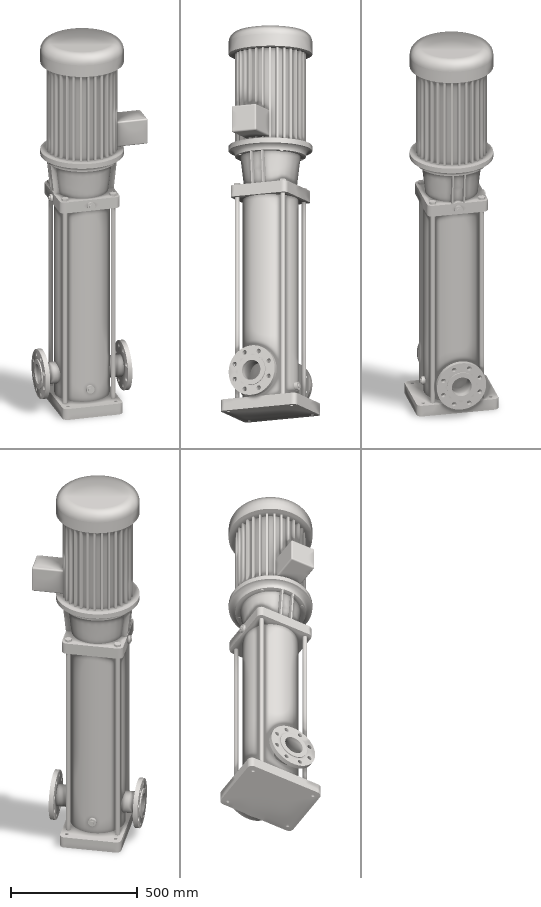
import cadquery as cq
import math


base_top = 46.0
port_z = 140.0
drain_plug_z = 100.0
head_bottom = 860.0
head_top = 906.0
head_plug_z = 882.0
lantern_top = 1034.0
motor_flange_bottom = 1057.0
motor_flange_top = 1077.0
cap_bottom = 1447.0
total_height = 1536.0

base_width = 330.0
plate_depth = 245.0
head_half_depth = plate_depth / 2
plate_corner_radius = 20.0
base_hole_diameter = 14.0
base_hole_x = 137.0
base_hole_y = 98.0

tube_diameter = 220.0
rod_diameter = 18.0
rod_spacing = 198.0
nut_diameter = 29.0
nut_height = 9.0

port_face_y = 183.0
port_bore = 80.0
pipe_diameter = 88.0
raised_face_diameter = 120.0
raised_face_height = 5.0
port_flange_diameter = 200.0
port_flange_thickness = 18.0
port_hole_diameter = 18.0
port_hole_circle = 160.0
port_hole_count = 8

plug_diameter = 32.0
plug_tip_diameter = 18.0
plug_tip_length = 5.0
plug_boss_diameter = 58.0
head_plug_collar = 9.0
drain_plug_collar = 12.0

lantern_bottom_diameter = 207.0
lantern_top_diameter = 238.0
rib_thickness = 6.0
rib_spacing = 48.0
rib_top_reach = 137.0
rib_bottom_reach = head_half_depth

motor_flange_diameter = 330.0
adapter_diameter = 280.0
motor_bolt_diameter = 14.0
motor_bolt_height = 3.0
motor_bolt_offset = 90.0
fin_diameter = 280.0
fin_count = 30
fin_thickness = 8.0
motor_core_diameter = 247.0
cap_diameter = motor_flange_diameter
cap_fillet = 40.0

box_width = 106.0
box_bottom = 1089.0
box_top = 1195.0
box_end_y = 255.0
box_edge_fillet = 6.0


def cylinder(diameter, bottom, top):
    """Upright cylinder on the pump axis between two heights."""
    return cq.Workplane("XY").workplane(offset=bottom).circle(diameter / 2).extrude(top - bottom)


def plate(width, bottom, top):
    """Horizontal plate with rounded vertical corners."""
    blank = cq.Workplane("XY").workplane(offset=bottom).rect(width, plate_depth).extrude(top - bottom)
    return blank.edges("|Z").fillet(plate_corner_radius)


def corner_points(x, y):
    """The four points placed symmetrically about the pump axis."""
    return [(sx * x, sy * y) for sx in (-1, 1) for sy in (-1, 1)]


def make_base():
    """Base plate with a through hole near each corner."""
    holes = corner_points(base_hole_x, base_hole_y)
    blank = plate(base_width, 0, base_top)
    return blank.faces(">Z").workplane(origin=(0, 0, base_top)).pushPoints(holes).hole(base_hole_diameter)


def make_tie_rods():
    """Four rods from base to head, each with a hexagon nut on top of the head plate."""
    corners = corner_points(rod_spacing / 2, rod_spacing / 2)
    rods = cq.Workplane("XY").pushPoints(corners).circle(rod_diameter / 2).extrude(head_top)
    nuts = (
        cq.Workplane("XY").workplane(offset=head_top)
        .pushPoints(corners).polygon(6, nut_diameter).extrude(nut_height)
    )
    return rods.union(nuts)


def make_port():
    """Flanged pipe on the -Y side; its bore ends at the tube wall."""
    flange_face_y = port_face_y - raised_face_height
    face = cq.Workplane("XZ", origin=(0, 0, port_z))
    pipe = face.circle(pipe_diameter / 2).extrude(port_face_y)
    raised_face = (
        face.workplane(offset=flange_face_y)
        .circle(raised_face_diameter / 2)
        .extrude(raised_face_height)
    )
    flange = (
        face.workplane(offset=flange_face_y - port_flange_thickness)
        .circle(port_flange_diameter / 2)
        .extrude(port_flange_thickness)
    )
    first_hole_angle = 180 / port_hole_count
    holes = (
        face.polarArray(port_hole_circle / 2, first_hole_angle, 360, port_hole_count)
        .circle(port_hole_diameter / 2)
        .extrude(port_face_y)
    )
    bore = face.circle(port_bore / 2).extrude(port_face_y)
    return flange.cut(holes).union(pipe).union(raised_face).cut(bore)


def make_plug(height, seat, collar_length, angle):
    """Screw plug with a round collar and a hexagonal tip.

    It reaches from the pump axis out through its seat along +X and is then turned about Z.
    """
    axis = cq.Workplane("YZ", origin=(0, 0, height))
    collar = axis.circle(plug_diameter / 2).extrude(seat + collar_length)
    tip = (
        axis.transformed(rotate=(0, 0, 90))
        .polygon(6, plug_tip_diameter)
        .extrude(seat + collar_length + plug_tip_length)
    )
    return collar.union(tip).rotate((0, 0, 0), (0, 0, 1), angle)


def make_plug_boss():
    """Half-round boss over the -Y head plug; its crown rises just above the head plate."""
    radius = plug_boss_diameter / 2
    return (
        cq.Workplane("XZ", origin=(0, 0, head_plug_z))
        .moveTo(-radius, 0)
        .threePointArc((0, radius), (radius, 0))
        .close()
        .extrude(head_half_depth)
    )


def make_lantern():
    """Tapered lantern with a pair of ribs on the -Y and +Y sides."""
    cone = (
        cq.Workplane("XZ")
        .moveTo(0, head_top)
        .lineTo(lantern_bottom_diameter / 2, head_top)
        .lineTo(lantern_top_diameter / 2, lantern_top)
        .lineTo(0, lantern_top)
        .close()
        .revolve(360, (0, 0, 0), (0, 1, 0))
    )
    rib = (
        cq.Workplane("YZ")
        .polyline([
            (-rib_bottom_reach, head_top),
            (rib_bottom_reach, head_top),
            (rib_top_reach, lantern_top),
            (-rib_top_reach, lantern_top),
        ])
        .close()
        .extrude(rib_thickness / 2, both=True)
    )
    for side in (-1, 1):
        cone = cone.union(rib.translate((side * rib_spacing / 2, 0, 0)))
    return cone


def make_motor_flange():
    """Motor flange, a concave collar flaring up into it, and four bolt heads below."""
    collar_radius = adapter_diameter / 2
    flare_radius = motor_flange_bottom - lantern_top
    flare_middle_x = collar_radius + flare_radius * (1 - math.cos(math.radians(45)))
    flare_middle_z = lantern_top + flare_radius * math.sin(math.radians(45))
    collar = (
        cq.Workplane("XZ")
        .moveTo(0, lantern_top)
        .lineTo(collar_radius, lantern_top)
        .threePointArc(
            (flare_middle_x, flare_middle_z),
            (collar_radius + flare_radius, motor_flange_bottom),
        )
        .lineTo(0, motor_flange_bottom)
        .close()
        .revolve(360, (0, 0, 0), (0, 1, 0))
    )
    flange = cylinder(motor_flange_diameter, motor_flange_bottom, motor_flange_top)
    bolts = (
        cq.Workplane("XY").workplane(offset=lantern_top - motor_bolt_height)
        .pushPoints(corner_points(motor_bolt_offset, motor_bolt_offset))
        .circle(motor_bolt_diameter / 2)
        .extrude(motor_bolt_height)
    )
    return flange.union(collar).union(bolts)


def make_motor_body():
    """Cylindrical core with radial cooling fins, one of them pointing to -Y."""
    core = cylinder(motor_core_diameter, motor_flange_top, cap_bottom)
    fin_depth = (fin_diameter - motor_core_diameter) / 2
    fins = (
        cq.Workplane("XY").workplane(offset=motor_flange_top)
        .polarArray(motor_core_diameter / 2, -90, 360, fin_count)
        .rect(2 * fin_depth, fin_thickness)
        .extrude(cap_bottom - motor_flange_top)
    )
    return core.union(fins)


def make_cap():
    """Fan cover with a rounded top edge."""
    blank = cylinder(cap_diameter, cap_bottom, total_height)
    return blank.faces(">Z").edges().fillet(cap_fillet)


def make_terminal_box():
    """Box with rounded outer edges, reaching from the motor axis out along +Y."""
    box = cq.Workplane("XY").box(
        box_width, box_end_y, box_top - box_bottom, centered=(True, False, False)
    )
    box = box.edges("|Y or >Y").fillet(box_edge_fillet)
    return box.translate((0, 0, box_bottom))


tube_radius = tube_diameter / 2
port = make_port()

result = make_base()
for feature in (
    port,
    port.rotate((0, 0, 0), (0, 0, 1), 180),
    cylinder(tube_diameter, base_top, head_bottom),
    plate(plate_depth, head_bottom, head_top),
    make_tie_rods(),
    make_plug(drain_plug_z, tube_radius, drain_plug_collar, 0),
    make_plug(drain_plug_z, tube_radius, drain_plug_collar, 180),
    make_plug(head_plug_z, head_half_depth, head_plug_collar, 0),
    make_plug(head_plug_z, head_half_depth, head_plug_collar, -90),
    make_plug_boss(),
    make_lantern(),
    make_motor_flange(),
    make_motor_body(),
    make_cap(),
    make_terminal_box(),
):
    result = result.union(feature)